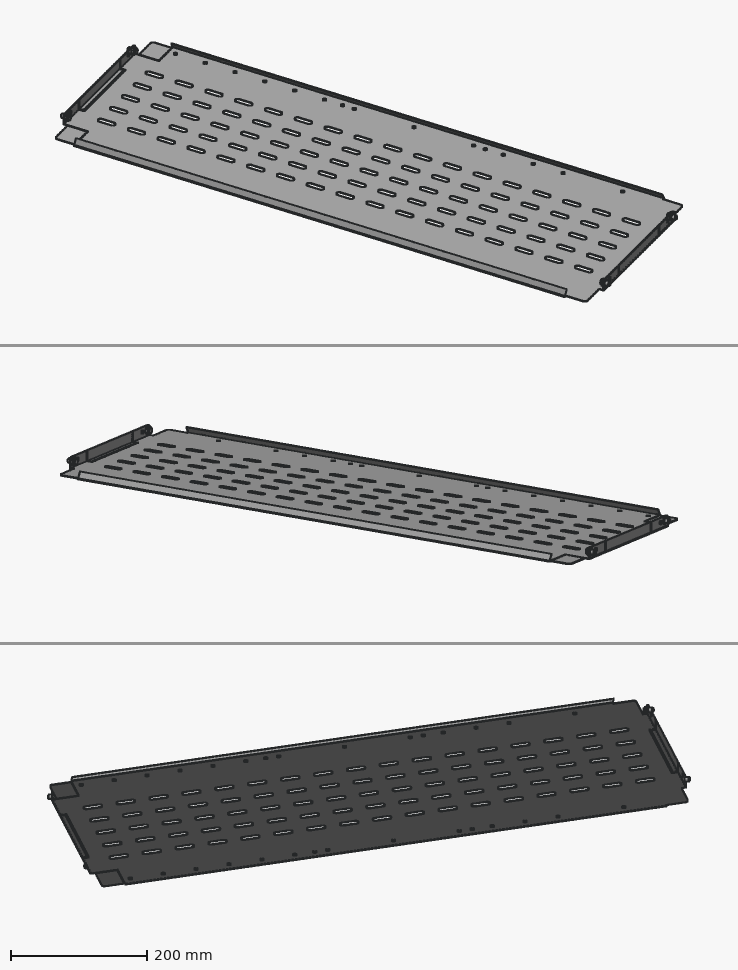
import cadquery as cq
import math

overall_length = 921.0
overall_width = 299.0
overall_height = 17.5
sheet = 1.5

plate_half_length = 446.0
plate_half_width = 146.0
plate_corner_radius = 5.0

side_flange_half_length = 412.0
side_flange_height = 11.0
side_flange_lean = math.radians(30)
side_flange_overlap = 4.0

end_flange_x = 453.0
end_flange_half_width = 107.0
end_flange_chamfer = 3.0
end_hole_y = 87.5
end_hole_diameter = 5.5

relief_width = 2.3
relief_half_width = 63.0
relief_x = 443.0

stud_y = 100.0
stud_z = 10.0
stud_radius = 4.0
stud_tip_chamfer = 2.0
collar_radius = 6.0
collar_inner_x = 448.5
nut_radius = 4.1
nut_inner_x = 446.0

slot_columns = 17
slot_rows = 5
slot_columns_span = 800.0
slot_pitch_x = slot_columns_span / (slot_columns - 1)
slot_pitch_y = 36.0
slot_length = 29.0
slot_width = 8.0

fixing_hole_columns = [-8, -7, -6, -5, -4, -3, -2, 0, 2, 3, 4, 5, 7]
extra_fixing_hole_x = 120.0
fixing_hole_y = 135.0
fixing_hole_diameter = 5.5

corner_slit_width = 1.0
corner_slit_bridge = 2.0


def box_between(x0, x1, y0, y1, z0, z1):
    """Box spanning two opposite corners, given axis by axis."""
    return cq.Workplane("XY").box(x1 - x0, y1 - y0, z1 - z0, centered=False).translate((x0, y0, z0))


def mirrored_y(shape):
    """The shape together with its mirror image across the XZ plane."""
    return shape.union(shape.mirror("XZ"))


def mirrored_x(shape):
    """The shape together with its mirror image across the YZ plane."""
    return shape.union(shape.mirror("YZ"))


def base_plate():
    plate = cq.Workplane("XY").box(
        2 * plate_half_length, 2 * plate_half_width, sheet, centered=(True, True, False)
    )
    plate = plate.edges("|Z").fillet(plate_corner_radius)
    end_strips = cq.Workplane("XY").box(
        2 * end_flange_x, 2 * end_flange_half_width, sheet, centered=(True, True, False)
    )
    return plate.union(end_strips)


def side_flange():
    """The +Y flange with the strip of plate it is folded from."""
    outer_y = overall_width / 2
    lean_run = (side_flange_height - sheet) * math.tan(side_flange_lean)
    tip_y = outer_y - lean_run
    tip_inner_y = tip_y - sheet * math.cos(side_flange_lean)
    tip_inner_z = side_flange_height - sheet * math.sin(side_flange_lean)
    fold_y = tip_inner_y + (tip_inner_z - sheet) * math.tan(side_flange_lean)
    joint_y = plate_half_width - side_flange_overlap
    profile = [
        (joint_y, 0),
        (outer_y, 0),
        (outer_y, sheet),
        (tip_y, side_flange_height),
        (tip_inner_y, tip_inner_z),
        (fold_y, sheet),
        (joint_y, sheet),
    ]
    return (
        cq.Workplane("YZ").polyline(profile).close()
        .extrude(side_flange_half_length, both=True)
    )


def end_flange():
    """The +X flange."""
    flange = box_between(
        end_flange_x - sheet, end_flange_x,
        -end_flange_half_width, end_flange_half_width,
        0, overall_height,
    )
    return flange.faces(">Z").edges("|X").chamfer(end_flange_chamfer)


def end_reliefs():
    """U-shaped slot in the plate at the +X end, and the two slits above it in the flange."""
    outer_x = relief_x + relief_width
    inner_y = relief_half_width - relief_width
    cross_slot = box_between(relief_x, outer_x, -relief_half_width, relief_half_width, 0, sheet)
    flange_inner_x = end_flange_x - sheet
    arm = box_between(relief_x, flange_inner_x, inner_y, relief_half_width, 0, sheet)
    slit = box_between(
        flange_inner_x, end_flange_x, inner_y, relief_half_width, sheet, overall_height
    )
    return cross_slot.union(mirrored_y(arm)).union(mirrored_y(slit))


def cylinder_along_x(x0, x1, y, z, radius):
    return cq.Workplane("YZ", origin=(x0, y, z)).circle(radius).extrude(x1 - x0)


def stud():
    """Stud on the +X, +Y flange: pin outside, collar and nut inside."""
    flange_inner_x = end_flange_x - sheet
    pin = cylinder_along_x(nut_inner_x, overall_length / 2, stud_y, stud_z, stud_radius)
    pin = pin.faces(">X").chamfer(stud_tip_chamfer)
    collar = cylinder_along_x(collar_inner_x, flange_inner_x, stud_y, stud_z, collar_radius)
    nut = cylinder_along_x(nut_inner_x, collar_inner_x, stud_y, stud_z, nut_radius)
    return pin.union(collar).union(nut)


def end_holes():
    hole = cylinder_along_x(
        collar_inner_x, overall_length / 2, end_hole_y, stud_z, end_hole_diameter / 2
    )
    return mirrored_y(hole)


def vent_slots():
    return (
        cq.Workplane("XY")
        .rarray(slot_pitch_x, slot_pitch_y, slot_columns, slot_rows)
        .slot2D(slot_length, slot_width)
        .extrude(sheet)
    )


def fixing_holes():
    hole_xs = [column * slot_pitch_x for column in fixing_hole_columns]
    hole_xs += [-extra_fixing_hole_x, extra_fixing_hole_x]
    centres = [(x, side * fixing_hole_y) for x in hole_xs for side in (-1, 1)]
    return cq.Workplane("XY").pushPoints(centres).circle(fixing_hole_diameter / 2).extrude(sheet)


def corner_slits():
    """L-shaped slit at the -X, +Y corner and its mirror image at -Y."""
    across = box_between(
        corner_slit_bridge - plate_half_length, -side_flange_half_length,
        end_flange_half_width, end_flange_half_width + corner_slit_width,
        0, sheet,
    )
    along = box_between(
        -side_flange_half_length - corner_slit_width, -side_flange_half_length,
        end_flange_half_width, overall_width / 2,
        0, sheet,
    )
    return mirrored_y(across.union(along))


body = base_plate().union(mirrored_y(side_flange())).union(mirrored_x(end_flange()))
body = body.union(mirrored_x(mirrored_y(stud())))
result = (
    body.cut(mirrored_x(end_reliefs()))
    .cut(mirrored_x(end_holes()))
    .cut(vent_slots())
    .cut(fixing_holes())
    .cut(corner_slits())
)